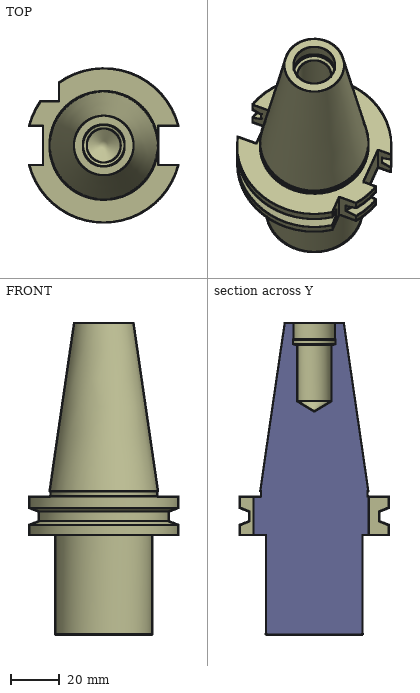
import cadquery as cq
import math

total_length = 128.2
taper_length = 69.0
neck_length = 2.5
gauge_z = total_length - taper_length
flange_top_z = gauge_z - neck_length
flange_thickness = 15.8
flange_bottom_z = flange_top_z - flange_thickness

nose_diameter = 40.0
nose_chamfer = 0.4
flange_diameter = 63.5
neck_diameter = 44.0
gauge_diameter = 44.6
taper_ratio = 7 / 24
tip_diameter = gauge_diameter - taper_ratio * taper_length
neck_bevel_height = 0.4
neck_foot_bevel = 0.4

groove_center_z = 48.7
groove_floor_width = 4.0
groove_flank_height = 1.5
groove_floor_diameter = 55.9

slot_width = 16.0
left_slot_floor_x = -25.0
right_slot_floor_x = 22.5
notch_x = -18.5
notch_y = 18.2

counterbore_diameter = 17.0
counterbore_depth = 6.7
relief_diameter = 17.5
relief_bevel_height = 0.4
relief_end_depth = 8.6
seat_depth = 0.5
drill_diameter = 14.0
drill_depth = 32.0
drill_point_angle = 118.0


def make_body():
    """Revolve the nose, flange, neck and taper around Z."""
    nose_radius = nose_diameter / 2
    flange_radius = flange_diameter / 2
    neck_radius = neck_diameter / 2
    groove_radius = groove_floor_diameter / 2
    groove_floor_low_z = groove_center_z - groove_floor_width / 2
    groove_floor_high_z = groove_center_z + groove_floor_width / 2
    profile = [
        (0, 0),
        (nose_radius - nose_chamfer, 0),
        (nose_radius, nose_chamfer),
        (nose_radius, flange_bottom_z),
        (flange_radius, flange_bottom_z),
        (flange_radius, groove_floor_low_z - groove_flank_height),
        (groove_radius, groove_floor_low_z),
        (groove_radius, groove_floor_high_z),
        (flange_radius, groove_floor_high_z + groove_flank_height),
        (flange_radius, flange_top_z),
        (neck_radius + neck_foot_bevel, flange_top_z),
        (neck_radius, flange_top_z + neck_foot_bevel),
        (neck_radius, gauge_z - neck_bevel_height),
        (gauge_diameter / 2, gauge_z),
        (tip_diameter / 2, total_length),
        (0, total_length),
    ]
    return cq.Workplane("XZ").polyline(profile).close().revolve(360, (0, 0), (0, 1))


def flange_cutter(x_min, x_max, y_min, y_max):
    """Block spanning the flange thickness between the given X and Y limits."""
    return (
        cq.Workplane("XY")
        .workplane(offset=flange_bottom_z)
        .moveTo((x_min + x_max) / 2, (y_min + y_max) / 2)
        .rect(x_max - x_min, y_max - y_min)
        .extrude(flange_thickness)
    )


def make_bore():
    """Revolve the counterbore, its wider relief, the conical seat and the pointed drill hole."""
    counterbore_radius = counterbore_diameter / 2
    relief_radius = relief_diameter / 2
    drill_radius = drill_diameter / 2
    step_z = total_length - counterbore_depth
    relief_end_z = total_length - relief_end_depth
    drill_end_z = total_length - drill_depth
    point_height = drill_radius / math.tan(math.radians(drill_point_angle / 2))
    profile = [
        (0, total_length),
        (counterbore_radius, total_length),
        (counterbore_radius, step_z),
        (relief_radius, step_z - relief_bevel_height),
        (relief_radius, relief_end_z),
        (drill_radius, relief_end_z - seat_depth),
        (drill_radius, drill_end_z),
        (0, drill_end_z - point_height),
    ]
    return cq.Workplane("XZ").polyline(profile).close().revolve(360, (0, 0), (0, 1))


half_slot = slot_width / 2
left_slot = flange_cutter(-flange_diameter, left_slot_floor_x, -half_slot, half_slot)
right_slot = flange_cutter(right_slot_floor_x, flange_diameter, -half_slot, half_slot)
notch = flange_cutter(-flange_diameter, notch_x, notch_y, flange_diameter)

result = make_body().cut(left_slot).cut(right_slot).cut(notch).cut(make_bore())